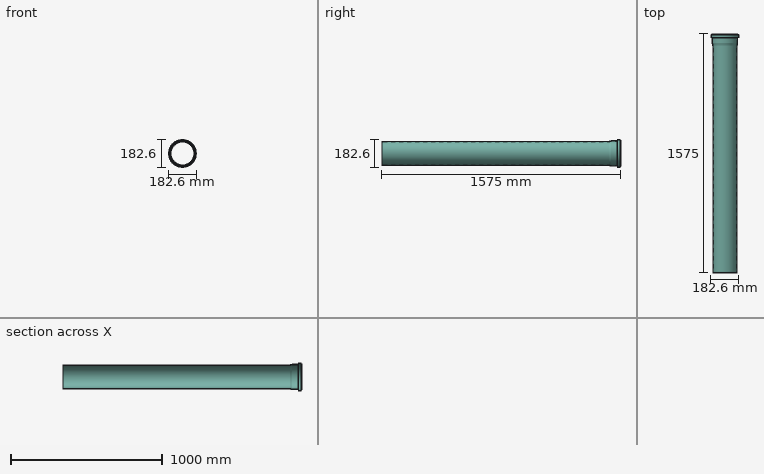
import cadquery as cq

length = 1575.0

pipe_outer_radius = 160.1 / 2
pipe_inner_radius = 152.3 / 2
spigot_chamfer_length = 7.0
spigot_chamfer_depth = 1.2

socket_outer_radius = 168.3 / 2
socket_inner_radius = 161.3 / 2
bead_outer_radius = 182.6 / 2
bead_inner_radius = 175.6 / 2
mouth_outer_radius = 168.0 / 2
mouth_inner_radius = 161.0 / 2

socket_depth = 62.5
neck_length = 15.0
mouth_lip_length = 2.0
bead_front_slope = 4.0
bead_crest_length = 16.0
bead_back_slope = 3.0

neck_end = length - socket_depth
neck_start = neck_end - neck_length
bead_end = length - mouth_lip_length
bead_crest_end = bead_end - bead_front_slope
bead_crest_start = bead_crest_end - bead_crest_length
bead_start = bead_crest_start - bead_back_slope


def revolve_about_y(profile):
    """Turn a closed (radius, Y) outline into a solid of revolution about the Y axis."""
    outline = cq.Workplane("XY").polyline(profile).close()
    return outline.revolve(360, (0, 0, 0), (0, 1, 0))


def wall_line(pipe_radius, socket_radius, bead_radius, mouth_radius):
    """List the (radius, Y) points of one wall surface, from the start of the neck to the mouth."""
    return [
        (pipe_radius, neck_start),
        (socket_radius, neck_end),
        (socket_radius, bead_start),
        (bead_radius, bead_crest_start),
        (bead_radius, bead_crest_end),
        (mouth_radius, bead_end),
        (mouth_radius, length),
    ]


outer_wall = [
    (pipe_outer_radius - spigot_chamfer_depth, 0),
    (pipe_outer_radius, spigot_chamfer_length),
] + wall_line(pipe_outer_radius, socket_outer_radius, bead_outer_radius, mouth_outer_radius)

inner_wall = [
    (pipe_inner_radius, 0),
] + wall_line(pipe_inner_radius, socket_inner_radius, bead_inner_radius, mouth_inner_radius)

result = revolve_about_y(outer_wall + inner_wall[::-1])